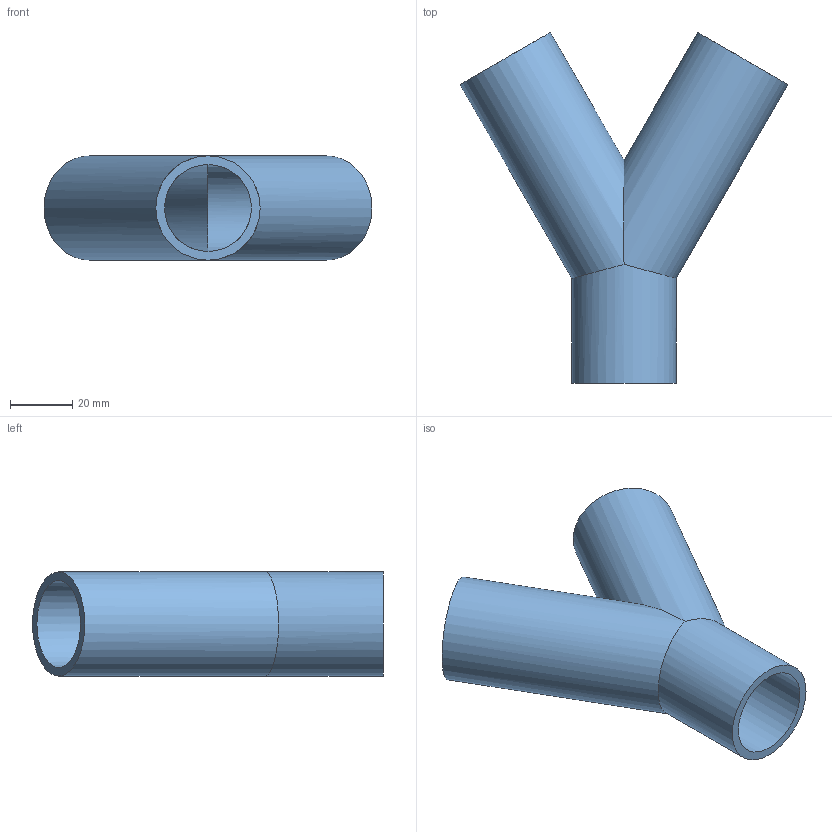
import cadquery as cq

outer_diameter = 33.4
bore_diameter = 27.86
stem_length = 38.1
branch_length = 76.2
branch_angle = 30.0


def rod_along_y(diameter, length):
    """Round rod starting at the origin and running along +Y."""
    rod = cq.Workplane("XY").circle(diameter / 2).extrude(length)
    return rod.rotate((0, 0, 0), (1, 0, 0), -90)


def y_body(diameter):
    """Stem and both branches, all of one diameter, joined at the origin."""
    body = rod_along_y(diameter, stem_length).rotate((0, 0, 0), (0, 0, 1), 180)
    for angle in (-branch_angle, branch_angle):
        branch = rod_along_y(diameter, branch_length).rotate((0, 0, 0), (0, 0, 1), angle)
        body = body.union(branch)
    return body


result = y_body(outer_diameter).cut(y_body(bore_diameter))